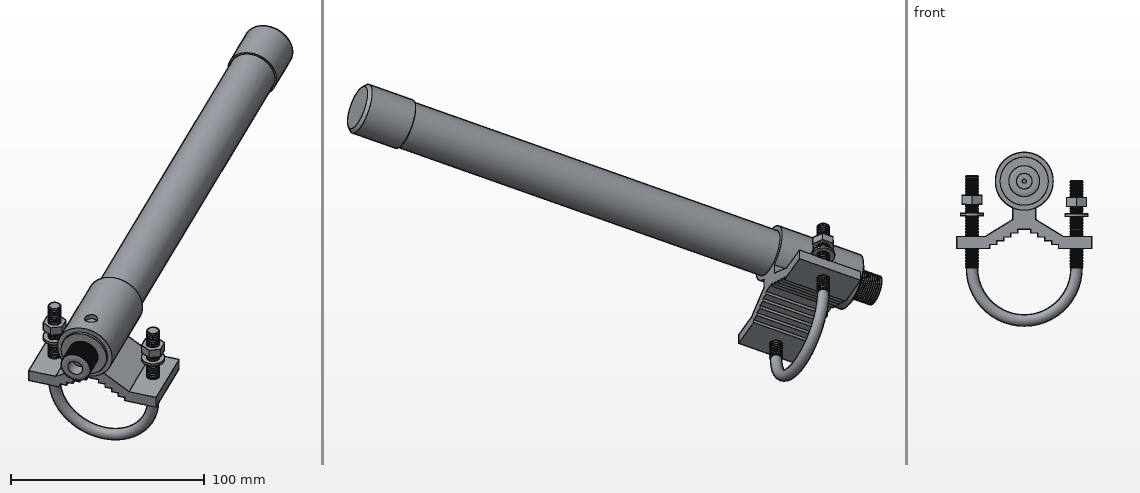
import cadquery as cq
import math


CREST_SHARE = 0.3

TOTAL_LENGTH = 300.0
TUBE_DIAMETER = 25.0
TUBE_FRONT_Y = 13.2
CONNECTOR_CREST_DIAMETER = 16.0
CONNECTOR_ROOT_DIAMETER = 13.0
CONNECTOR_PITCHES = 12
SOCKET_DIAMETER = 8.0
SOCKET_DEPTH = 7.2
CONTACT_HOLE_DIAMETER = 2.0
CONTACT_HOLE_DEPTH = 3.0

CAP_DIAMETER = 26.7
CAP_LENGTH = 27.0
CAP_END_THICKNESS = 3.0
CAP_CHAMFER = 1.8

BOSS_DIAMETER = 30.0
BOSS_LENGTH = 47.0
BOSS_FRONT_Y = 14.7
BOSS_REAR_Y = BOSS_FRONT_Y + BOSS_LENGTH
SCREW_HOLE_DIAMETER = 6.5
SCREW_HOLE_Y = 24.3
CLAMP_LENGTH = 35.5
CLAMP_MID_Y = BOSS_REAR_Y - CLAMP_LENGTH / 2
CLAMP_WIDTH = 70.0
FLANGE_TOP_Z = -28.5
FLANGE_BOTTOM_Z = -34.8
FLANGE_INNER_X = 20.0
NECK_HALF_WIDTH = 6.0
NECK_BOTTOM_Z = -19.8
STEP_COUNT = 5
STEP_RUN = 3.5
STEP_TOP_HALF_WIDTH = 3.3
STEP_TOP_Z = -25.0
STEP_RISE = (STEP_TOP_Z - FLANGE_BOTTOM_Z) / STEP_COUNT

LEG_X = 27.0
ROD_DIAMETER = 6.0
BOLT_ROOT_DIAMETER = 5.7
BOLT_CREST_DIAMETER = 6.5
BOLT_PITCH = 1.5
BOLT_BOTTOM_Z = -75.0
BEND_CENTRE_Z = BOLT_BOTTOM_Z + LEG_X + ROD_DIAMETER / 2
LEFT_LEG_TOP_Z = 3.0
RIGHT_LEG_TOP_Z = 0.3

NUT_ACROSS_FLATS = 10.5
NUT_HEIGHT = 4.8
LEFT_NUT_BOTTOM_Z = -12.0
RIGHT_NUT_BOTTOM_Z = -13.2
WASHER_DIAMETER = 12.0
WASHER_THICKNESS = 1.5
LEFT_WASHER_BOTTOM_Z = -18.0
RIGHT_WASHER_BOTTOM_Z = -18.3


def cylinder_y(diameter, front_y, length):
    """Cylinder on the antenna axis, running from front_y towards +Y."""
    return cq.Workplane("XZ", origin=(0, front_y, 0)).circle(diameter / 2).extrude(-length)


def cylinder_z(x, diameter, bottom_z, height):
    """Upright cylinder on the U-bolt leg axis at the given X."""
    return cq.Workplane("XY", origin=(x, CLAMP_MID_Y, bottom_z)).circle(diameter / 2).extrude(height)


def threaded_rod(root_diameter, crest_diameter, length, pitch_count):
    """Rod from Z = 0 up to length, with one flat-topped ring per thread pitch."""
    root_radius = root_diameter / 2
    crest_radius = crest_diameter / 2
    pitch = length / pitch_count
    outline = cq.Workplane("XZ").lineTo(root_radius, 0)
    for index in range(pitch_count):
        outline = outline.lineTo(crest_radius, (index + 0.5 - CREST_SHARE / 2) * pitch)
        outline = outline.lineTo(crest_radius, (index + 0.5 + CREST_SHARE / 2) * pitch)
        outline = outline.lineTo(root_radius, (index + 1) * pitch)
    return outline.lineTo(0, length).close().revolve(360, (0, 0, 0), (0, 1, 0))


def make_antenna():
    tube_length = TOTAL_LENGTH - CAP_END_THICKNESS - TUBE_FRONT_Y
    tube = cylinder_y(TUBE_DIAMETER, TUBE_FRONT_Y, tube_length)
    connector = threaded_rod(
        CONNECTOR_ROOT_DIAMETER, CONNECTOR_CREST_DIAMETER, TUBE_FRONT_Y, CONNECTOR_PITCHES
    ).rotate((0, 0, 0), (1, 0, 0), -90)
    socket = cylinder_y(SOCKET_DIAMETER, 0, SOCKET_DEPTH)
    contact_hole = cylinder_y(CONTACT_HOLE_DIAMETER, SOCKET_DEPTH, CONTACT_HOLE_DEPTH)
    return tube.union(connector).cut(socket).cut(contact_hole)


def make_cap():
    front_y = TOTAL_LENGTH - CAP_LENGTH
    cap = cylinder_y(CAP_DIAMETER, front_y, CAP_LENGTH).faces(">Y").chamfer(CAP_CHAMFER)
    return cap.cut(cylinder_y(TUBE_DIAMETER, front_y, CAP_LENGTH - CAP_END_THICKNESS))


def clamp_outline():
    """Right half of the clamp profile, from the boss axis round to the stepped underside."""
    points = [
        (0, 0),
        (NECK_HALF_WIDTH, 0),
        (NECK_HALF_WIDTH, NECK_BOTTOM_Z),
        (FLANGE_INNER_X, FLANGE_TOP_Z),
        (CLAMP_WIDTH / 2, FLANGE_TOP_Z),
        (CLAMP_WIDTH / 2, FLANGE_BOTTOM_Z),
    ]
    for step in reversed(range(STEP_COUNT)):
        x = STEP_TOP_HALF_WIDTH + step * STEP_RUN
        z = STEP_TOP_Z - step * STEP_RISE
        points.append((x, z - STEP_RISE))
        points.append((x, z))
    points.append((0, STEP_TOP_Z))
    return points


def make_bracket():
    boss = cylinder_y(BOSS_DIAMETER, BOSS_FRONT_Y, BOSS_LENGTH)
    half_clamp = (
        cq.Workplane("XZ", origin=(0, BOSS_REAR_Y, 0))
        .polyline(clamp_outline())
        .close()
        .extrude(CLAMP_LENGTH)
    )
    bracket = boss.union(half_clamp).union(half_clamp.mirror("YZ"))
    bracket = bracket.cut(cylinder_y(TUBE_DIAMETER, BOSS_FRONT_Y, BOSS_LENGTH))
    screw_hole = (
        cq.Workplane("XY", origin=(0, SCREW_HOLE_Y, 0))
        .circle(SCREW_HOLE_DIAMETER / 2)
        .extrude(BOSS_DIAMETER / 2)
    )
    bracket = bracket.cut(screw_hole)
    for x in (-LEG_X, LEG_X):
        bracket = bracket.cut(
            cylinder_z(x, BOLT_CREST_DIAMETER, FLANGE_BOTTOM_Z, FLANGE_TOP_Z - FLANGE_BOTTOM_Z)
        )
    return bracket


def make_u_bolt():
    bend_path = (
        cq.Workplane("XZ", origin=(0, CLAMP_MID_Y, 0))
        .moveTo(-LEG_X, BEND_CENTRE_Z)
        .threePointArc((0, BEND_CENTRE_Z - LEG_X), (LEG_X, BEND_CENTRE_Z))
    )
    u_bolt = (
        cq.Workplane("XY", origin=(-LEG_X, CLAMP_MID_Y, BEND_CENTRE_Z))
        .circle(ROD_DIAMETER / 2)
        .sweep(bend_path)
    )
    for x, top_z in ((-LEG_X, LEFT_LEG_TOP_Z), (LEG_X, RIGHT_LEG_TOP_Z)):
        length = top_z - BEND_CENTRE_Z
        leg = threaded_rod(BOLT_ROOT_DIAMETER, BOLT_CREST_DIAMETER, length, round(length / BOLT_PITCH))
        u_bolt = u_bolt.union(leg.translate((x, CLAMP_MID_Y, BEND_CENTRE_Z)))
    return u_bolt


def make_nut(x, bottom_z):
    """Hexagon nut with flats facing -X and +X and corners pointing along Y."""
    across_corners = NUT_ACROSS_FLATS / math.cos(math.pi / 6)
    nut = (
        cq.Workplane("XY", origin=(x, CLAMP_MID_Y, bottom_z))
        .transformed(rotate=(0, 0, 90))
        .polygon(6, across_corners)
        .extrude(NUT_HEIGHT)
    )
    return nut.cut(cylinder_z(x, BOLT_CREST_DIAMETER, bottom_z, NUT_HEIGHT))


def make_washer(x, bottom_z):
    washer = cylinder_z(x, WASHER_DIAMETER, bottom_z, WASHER_THICKNESS)
    return washer.cut(cylinder_z(x, BOLT_CREST_DIAMETER, bottom_z, WASHER_THICKNESS))


antenna = make_antenna()
cap = make_cap()
bracket = make_bracket()
u_bolt = make_u_bolt()
nuts = [make_nut(x, z) for x, z in ((-LEG_X, LEFT_NUT_BOTTOM_Z), (LEG_X, RIGHT_NUT_BOTTOM_Z))]
washers = [make_washer(x, z) for x, z in ((-LEG_X, LEFT_WASHER_BOTTOM_Z), (LEG_X, RIGHT_WASHER_BOTTOM_Z))]

result = cq.Compound.makeCompound(
    [body.val() for body in (antenna, cap, bracket, u_bolt, *nuts, *washers)]
)